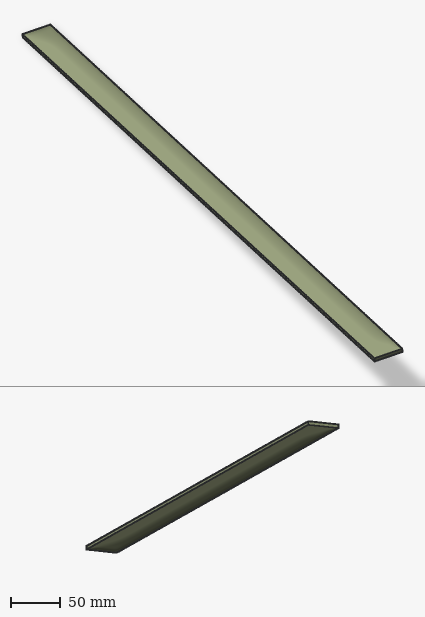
import cadquery as cq
import math

length = 762.0
width = 31.75
thickness = 3.81

overall_rise = 138.75

side_diagonal = math.hypot(length, thickness)
tilt = math.asin(overall_rise / side_diagonal) - math.atan2(thickness, length)

origin = (0, 0, 0)
y_axis = (0, 1, 0)


def make_tilted_bar():
    """Make the bar lying flat along X, then raise its +X end by the tilt."""
    flat_bar = cq.Workplane("XY").box(length, width, thickness)
    return flat_bar.rotate(origin, y_axis, -math.degrees(tilt))


result = make_tilted_bar()